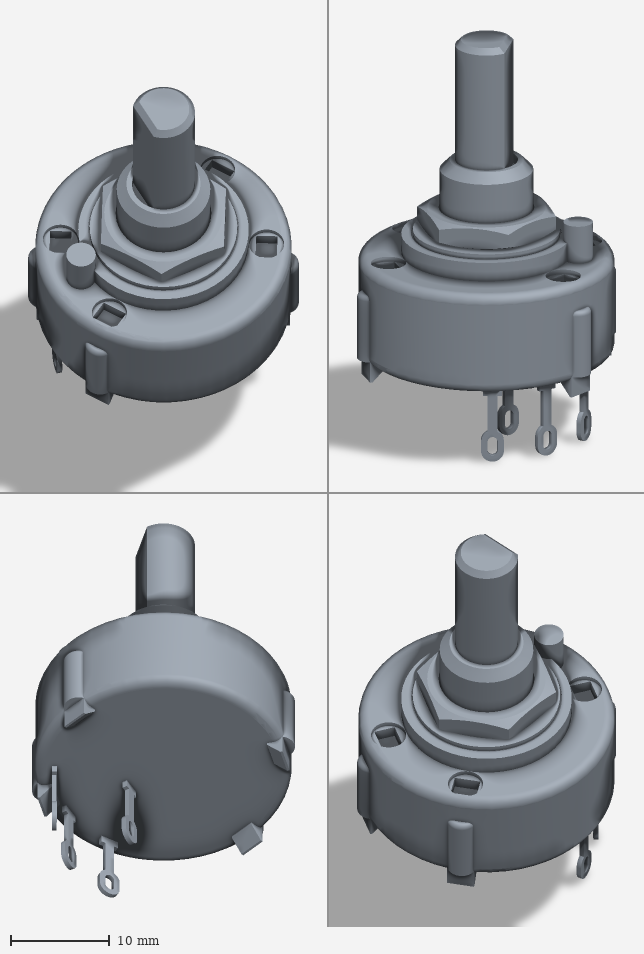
import cadquery as cq
import math

CLIP_BOTTOM_Z = 6.3
BODY_BOTTOM_Z = 7.93
BODY_TOP_Z = 18.5
BOSS_TOP_Z = 20.5
WASHER_TOP_Z = BOSS_TOP_Z + 0.5
NUT_TOP_Z = WASHER_TOP_Z + 2.35
BUSHING_TOP_Z = 28.5
SHAFT_TOP_Z = 41.5

BODY_DIAMETER = 26.0
BODY_TOP_FACE_DIAMETER = 24.0
BODY_FILLET = (BODY_DIAMETER - BODY_TOP_FACE_DIAMETER) / 2
BOSS_DIAMETER = 17.3
BUSHING_DIAMETER = 9.5
BUSHING_CHAMFER = 1.0

SHAFT_DIAMETER = 6.4
SHAFT_CHAMFER = 0.6
FLAT_OFFSET = 2.32
FLAT_DEPTH_IN_BUSHING = 1.0

POST_DIAMETER = 3.0
POST_CENTRE_RADIUS = 9.5
POST_TOP_Z = 22.5

CLIP_ANGLES = (60, 120, 240, 300)
RIB_DIAMETER = 3.0
RIB_CENTRE_RADIUS = 12.25
RIB_BOTTOM_Z = 8.45
RIB_TOP_Z = 15.55
RIB_FILLET = 0.5
HOOK_WIDTH = 2.8
HOOK_OUTER_RADIUS = 12.85
HOOK_INNER_RADIUS = 11.25
HOOK_TIP_THICKNESS = 0.25
ACCESS_HOLE_DIAMETER = 3.55
ACCESS_HOLE_RADIUS = 10.45
ACCESS_HOLE_DEPTH = 0.5
ACCESS_SLOT_LENGTH = 2.65
ACCESS_SLOT_WIDTH = 2.15
ACCESS_SLOT_DEPTH = 1.75

TERMINAL_PLACES = ((11.1, 195), (11.1, 225), (11.1, 255), (4.0, 225))
TERMINAL_THICKNESS = 0.5
STEM_WIDTH = 1.0
SHOULDER_WIDTH = 1.9
SHOULDER_BOTTOM_Z = 7.1
EYE_WIDTH = 2.32
EYE_HEIGHT = 3.3
EYE_WALL = 0.65

NUT_ACROSS_FLATS = 12.5
NUT_FACE_DIAMETER = 12.05
NUT_CORNER_DROP = 0.5
NUT_BORE_CHAMFER = 0.105
WASHER_DIAMETER = 15.0
WASHER_RECESS_DIAMETER = 15.3
WASHER_RECESS_DEPTH = 0.1


def cylinder(diameter, bottom_z, top_z):
    """Upright cylinder on the main axis."""
    return cq.Workplane("XY").workplane(offset=bottom_z).circle(diameter / 2).extrude(top_z - bottom_z)


def at_polar(shape, radius, angle):
    """Move a shape built on the main axis out along +X, then turn it about that axis."""
    return shape.translate((radius, 0, 0)).rotate((0, 0, 0), (0, 0, 1), angle)


def shaft():
    """Round shaft with one flat on its -Y side and a chamfered top."""
    blank = cylinder(SHAFT_DIAMETER, BUSHING_TOP_Z - FLAT_DEPTH_IN_BUSHING, SHAFT_TOP_Z)
    flat_cutter = (
        cq.Workplane("XY")
        .box(SHAFT_DIAMETER, SHAFT_DIAMETER, SHAFT_TOP_Z, centered=(True, False, False))
        .translate((0, -FLAT_OFFSET - SHAFT_DIAMETER, 0))
    )
    return blank.cut(flat_cutter).faces(">Z").chamfer(SHAFT_CHAMFER)


def rib():
    """Vertical half-embedded rib, rounded at its upper end."""
    return cylinder(RIB_DIAMETER, RIB_BOTTOM_Z, RIB_TOP_Z).faces(">Z").edges().fillet(RIB_FILLET)


def hook():
    """Snap hook with a 45 degree inner ramp, drawn radially in the XZ plane."""
    tip_inner = HOOK_OUTER_RADIUS - HOOK_TIP_THICKNESS
    ramp_rise = tip_inner - HOOK_INNER_RADIUS
    return (
        cq.Workplane("XZ")
        .moveTo(HOOK_OUTER_RADIUS, CLIP_BOTTOM_Z)
        .lineTo(HOOK_OUTER_RADIUS, RIB_BOTTOM_Z)
        .lineTo(HOOK_INNER_RADIUS, RIB_BOTTOM_Z)
        .lineTo(HOOK_INNER_RADIUS, CLIP_BOTTOM_Z + ramp_rise)
        .lineTo(tip_inner, CLIP_BOTTOM_Z)
        .close()
        .extrude(HOOK_WIDTH / 2, both=True)
    )


def access_hole():
    """Shallow round recess with a deeper rectangular slot in its floor."""
    recess = cylinder(ACCESS_HOLE_DIAMETER, BODY_TOP_Z - ACCESS_HOLE_DEPTH, BODY_TOP_Z)
    slot = (
        cq.Workplane("XY")
        .workplane(offset=BODY_TOP_Z)
        .rect(ACCESS_SLOT_WIDTH, ACCESS_SLOT_LENGTH)
        .extrude(-ACCESS_SLOT_DEPTH)
    )
    return recess.union(slot)


def terminal():
    """Flat tag with a slotted eye, its faces square to the radial direction."""
    sheet = cq.Workplane("YZ")
    eye_centre_z = EYE_HEIGHT / 2
    half = TERMINAL_THICKNESS / 2
    eye = sheet.center(0, eye_centre_z).slot2D(EYE_HEIGHT, EYE_WIDTH, 90).extrude(half, both=True)
    stem_height = BODY_BOTTOM_Z - eye_centre_z
    stem = (
        sheet.center(0, eye_centre_z + stem_height / 2)
        .rect(STEM_WIDTH, stem_height)
        .extrude(half, both=True)
    )
    shoulder_height = BODY_BOTTOM_Z - SHOULDER_BOTTOM_Z
    shoulder = (
        sheet.center(0, SHOULDER_BOTTOM_Z + shoulder_height / 2)
        .rect(SHOULDER_WIDTH, shoulder_height)
        .extrude(half, both=True)
    )
    opening = (
        sheet.center(0, eye_centre_z)
        .slot2D(EYE_HEIGHT - 2 * EYE_WALL, EYE_WIDTH - 2 * EYE_WALL, 90)
        .extrude(half, both=True)
    )
    return eye.union(stem).union(shoulder).cut(opening)


def switch_body():
    """Switch housing with its clips, boss, post, bushing, shaft and terminals."""
    body = cylinder(BODY_DIAMETER, BODY_BOTTOM_Z, BODY_TOP_Z).edges().fillet(BODY_FILLET)
    for angle in CLIP_ANGLES:
        body = body.union(at_polar(rib(), RIB_CENTRE_RADIUS, angle))
        body = body.union(at_polar(hook(), 0, angle))
        body = body.cut(at_polar(access_hole(), ACCESS_HOLE_RADIUS, angle))

    body = body.union(cylinder(BOSS_DIAMETER, BODY_TOP_Z, BOSS_TOP_Z))
    body = body.cut(cylinder(WASHER_RECESS_DIAMETER, BOSS_TOP_Z - WASHER_RECESS_DEPTH, BOSS_TOP_Z))
    post = cylinder(POST_DIAMETER, BODY_TOP_Z, POST_TOP_Z)
    body = body.union(at_polar(post, POST_CENTRE_RADIUS, -90))

    bushing = cylinder(BUSHING_DIAMETER, BODY_TOP_Z, BUSHING_TOP_Z).faces(">Z").chamfer(BUSHING_CHAMFER)
    shaft_bore = cylinder(SHAFT_DIAMETER, BUSHING_TOP_Z - FLAT_DEPTH_IN_BUSHING, BUSHING_TOP_Z)
    body = body.union(bushing).cut(shaft_bore).union(shaft())

    for radius, angle in TERMINAL_PLACES:
        body = body.union(at_polar(terminal(), radius, angle))
    return body


def mounting_nut():
    """Hexagon nut, chamfered on both faces, on a round washer that sits in the boss recess."""
    across_corners = NUT_ACROSS_FLATS / math.cos(math.pi / 6)
    nut = (
        cq.Workplane("XY")
        .workplane(offset=WASHER_TOP_Z)
        .polygon(6, across_corners)
        .extrude(NUT_TOP_Z - WASHER_TOP_Z)
        .rotate((0, 0, 0), (0, 0, 1), 30)
    )
    corner_cut = (across_corners - NUT_FACE_DIAMETER) / 2
    envelope = (
        cylinder(across_corners, WASHER_TOP_Z, NUT_TOP_Z)
        .edges()
        .chamfer(NUT_CORNER_DROP, corner_cut)
    )
    washer = cylinder(WASHER_DIAMETER, BOSS_TOP_Z - WASHER_RECESS_DEPTH, WASHER_TOP_Z)
    bore = cylinder(BUSHING_DIAMETER, BODY_TOP_Z, NUT_TOP_Z)
    countersink = (
        cylinder(BUSHING_DIAMETER + 2 * NUT_BORE_CHAMFER, WASHER_TOP_Z, NUT_TOP_Z)
        .faces("<Z")
        .chamfer(NUT_BORE_CHAMFER)
    )
    return nut.intersect(envelope).union(washer).cut(bore).cut(countersink)


result = cq.Compound.makeCompound([switch_body().val(), mounting_nut().val()])